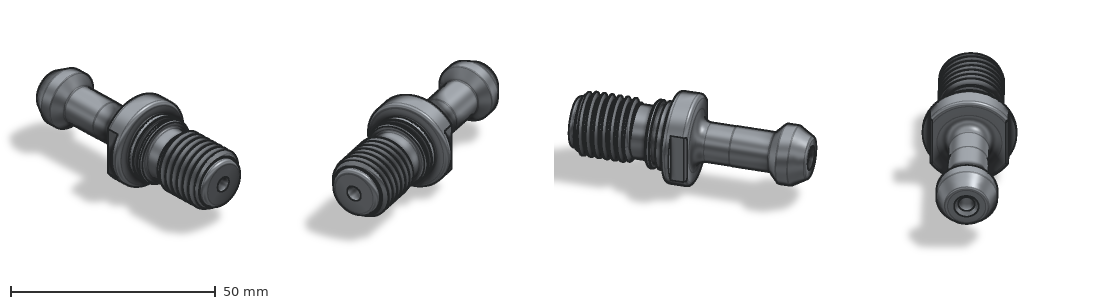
import cadquery as cq
import math

length = 60.0

head_radius = 7.5
head_cylinder_start = 4.0
head_cylinder_end = 7.0
nose_angle = math.radians(30)
nose_rounding = 0.9
head_edge_rounding = 0.3

shank_radius = 5.0
rear_shank_radius = 4.9
shank_step_start = 19.4
shank_step_end = 19.6
head_blend = 0.5
flange_blend = 3.0

flange_radius = 23.0 / 2
flange_start = 28.9
flange_end = 35.0
flange_rounding = 1.0
flat_half_width = 9.55
flat_length = 4.0
flat_chamfer = 0.6

pilot_radius = 8.5
relief_radius = 8.2
first_collar_start = 35.75
relief_blend = 0.3
seal_groove_radius = 7.4
seal_groove_start = 37.25
seal_groove_end = 38.65
pilot_end = 39.95
pilot_edge_break = 0.2
seal_groove_blend = 0.2
pilot_end_chamfer = 0.5

neck_radius = 13.5 / 2
neck_blend = 0.5
thread_start = 43.9
thread_end = 58.4
thread_radius = 16.0 / 2
first_crest = 45.5
last_crest = 57.5
crest_count = 7
thread_pitch = (last_crest - first_crest) / (crest_count - 1)
thread_crest_width = thread_pitch / 8
thread_flank_angle = math.radians(30)
thread_overlap = 0.2
tip_radius = 6.4
tip_rounding = 1.0

bore_radius = 2.0
countersink_radius = 3.0

quarter_round_setback = 1 - math.sin(math.pi / 4)


def revolve_about_x(profile):
    """Turn a closed XY outline one full turn about the X axis."""
    return profile.close().revolve(360, (0, 0, 0), (1, 0, 0))


def make_head():
    """Double-coned head with rounded edges, blended into the shank behind it."""
    nose_radius = head_radius - head_cylinder_start * math.tan(nose_angle)
    rear_cone_end = head_cylinder_end + head_radius - shank_radius

    half_turn = (math.pi / 2 - nose_angle) / 2
    nose_setback = nose_rounding * math.tan(half_turn)
    nose_center_r = nose_radius - nose_setback

    def nose_point(angle):
        return (
            nose_rounding * (1 - math.cos(angle)),
            nose_center_r + nose_rounding * math.sin(angle),
        )

    foot_setback = head_blend * math.tan(math.pi / 8)
    foot_x = rear_cone_end + foot_setback
    foot_r = shank_radius + head_blend

    def foot_point(angle):
        return (foot_x - head_blend * math.sin(angle), foot_r - head_blend * math.cos(angle))

    profile = (
        cq.Workplane("XY")
        .moveTo(0, 0)
        .lineTo(*nose_point(0))
        .threePointArc(nose_point(half_turn), nose_point(2 * half_turn))
        .lineTo(head_cylinder_start, head_radius)
        .lineTo(head_cylinder_end, head_radius)
        .lineTo(*foot_point(math.pi / 4))
        .threePointArc(foot_point(math.pi / 8), foot_point(0))
        .lineTo(foot_x, 0)
    )
    widest_edges = cq.selectors.RadiusNthSelector(-1)
    return revolve_about_x(profile).edges(widest_edges).fillet(head_edge_rounding)


def make_flange():
    """Round flange with rounded rims and a wrench flat on each Y side."""
    flange = (
        cq.Workplane("YZ", origin=(flange_start, 0, 0))
        .circle(flange_radius)
        .extrude(flange_end - flange_start)
        .edges()
        .fillet(flange_rounding)
    )
    for side in (1, -1):
        cutter = (
            cq.Workplane("XY")
            .moveTo(flange_start, side * (flat_half_width - flat_chamfer))
            .lineTo(flange_start + flat_chamfer, side * flat_half_width)
            .lineTo(flange_start + flat_length, side * flat_half_width)
            .lineTo(flange_start + flat_length, side * 2 * flange_radius)
            .lineTo(flange_start, side * 2 * flange_radius)
            .close()
            .extrude(flange_radius, both=True)
        )
        flange = flange.cut(cutter)
    return flange


def make_shank():
    """Shank with a slight step, which flares in a quarter round into the flange face."""
    flare_arc = flange_blend * quarter_round_setback
    profile = (
        cq.Workplane("XY")
        .moveTo(head_cylinder_end, 0)
        .lineTo(head_cylinder_end, shank_radius)
        .lineTo(shank_step_start, shank_radius)
        .lineTo(shank_step_end, rear_shank_radius)
        .lineTo(flange_start - flange_blend, rear_shank_radius)
        .threePointArc(
            (flange_start - flare_arc, rear_shank_radius + flare_arc),
            (flange_start, rear_shank_radius + flange_blend),
        )
        .lineTo(flange_start, 0)
    )
    return revolve_about_x(profile)


def make_pilot_and_neck():
    """Pilot collars, seal groove, neck with the thread core, and rounded tip."""
    relief_arc = relief_blend * quarter_round_setback
    groove_arc = seal_groove_blend * quarter_round_setback
    neck_arc = neck_blend * quarter_round_setback
    tip_arc = tip_rounding * quarter_round_setback
    profile = (
        cq.Workplane("XY")
        .moveTo(flange_end, 0)
        .lineTo(flange_end, relief_radius + relief_blend)
        .threePointArc(
            (flange_end + relief_arc, relief_radius + relief_arc),
            (flange_end + relief_blend, relief_radius),
        )
        .lineTo(first_collar_start, relief_radius)
        .lineTo(first_collar_start, pilot_radius)
        .lineTo(seal_groove_start - pilot_edge_break, pilot_radius)
        .lineTo(seal_groove_start, pilot_radius - pilot_edge_break)
        .lineTo(seal_groove_start, seal_groove_radius + seal_groove_blend)
        .threePointArc(
            (seal_groove_start + groove_arc, seal_groove_radius + groove_arc),
            (seal_groove_start + seal_groove_blend, seal_groove_radius),
        )
        .lineTo(seal_groove_end - seal_groove_blend, seal_groove_radius)
        .threePointArc(
            (seal_groove_end - groove_arc, seal_groove_radius + groove_arc),
            (seal_groove_end, seal_groove_radius + seal_groove_blend),
        )
        .lineTo(seal_groove_end, pilot_radius - pilot_edge_break)
        .lineTo(seal_groove_end + pilot_edge_break, pilot_radius)
        .lineTo(pilot_end - pilot_end_chamfer, pilot_radius)
        .lineTo(pilot_end, pilot_radius - pilot_end_chamfer)
        .lineTo(pilot_end, neck_radius + neck_blend)
        .threePointArc(
            (pilot_end + neck_arc, neck_radius + neck_arc),
            (pilot_end + neck_blend, neck_radius),
        )
        .lineTo(thread_end, neck_radius)
        .lineTo(thread_end, tip_radius)
        .lineTo(length - tip_rounding, tip_radius)
        .threePointArc(
            (length - tip_arc, tip_radius - tip_arc),
            (length, tip_radius - tip_rounding),
        )
        .lineTo(length, 0)
    )
    return revolve_about_x(profile)


def make_thread():
    """Right-hand helical ridge, trimmed by a sleeve with a 45 degree chamfer at each end."""
    inner_radius = neck_radius - thread_overlap
    ridge_height = thread_radius - inner_radius
    half_crest = thread_crest_width / 2
    half_base = half_crest + ridge_height * math.tan(thread_flank_angle)

    lead_in = 2 * thread_pitch
    helix_height = thread_end - first_crest + 2 * lead_in
    helix = cq.Wire.makeHelix(thread_pitch, helix_height, inner_radius)
    ridge = (
        cq.Workplane("XZ")
        .polyline([
            (inner_radius, -half_base),
            (thread_radius, -half_crest),
            (thread_radius, half_crest),
            (inner_radius, half_base),
        ])
        .close()
        .sweep(cq.Workplane(obj=helix), isFrenet=True)
    )
    ridge = ridge.rotate((0, 0, 0), (0, 1, 0), 90).rotate((0, 0, 0), (1, 0, 0), 180)
    ridge = ridge.translate((first_crest - lead_in, 0, 0))

    sleeve_radius = thread_radius + thread_overlap
    chamfer = sleeve_radius - neck_radius
    sleeve = revolve_about_x(
        cq.Workplane("XY")
        .moveTo(thread_start, 0)
        .lineTo(thread_start, neck_radius)
        .lineTo(thread_start + chamfer, sleeve_radius)
        .lineTo(thread_end - chamfer, sleeve_radius)
        .lineTo(thread_end, neck_radius)
        .lineTo(thread_end, 0)
    )
    return ridge.intersect(sleeve)


def make_bore():
    """Through bore with a 45 degree countersink at the head."""
    profile = (
        cq.Workplane("XY")
        .lineTo(0, countersink_radius)
        .lineTo(countersink_radius - bore_radius, bore_radius)
        .lineTo(length, bore_radius)
        .lineTo(length, 0)
    )
    return revolve_about_x(profile)


body = make_head().union(make_shank()).union(make_flange()).union(make_pilot_and_neck())
result = body.union(make_thread()).cut(make_bore())